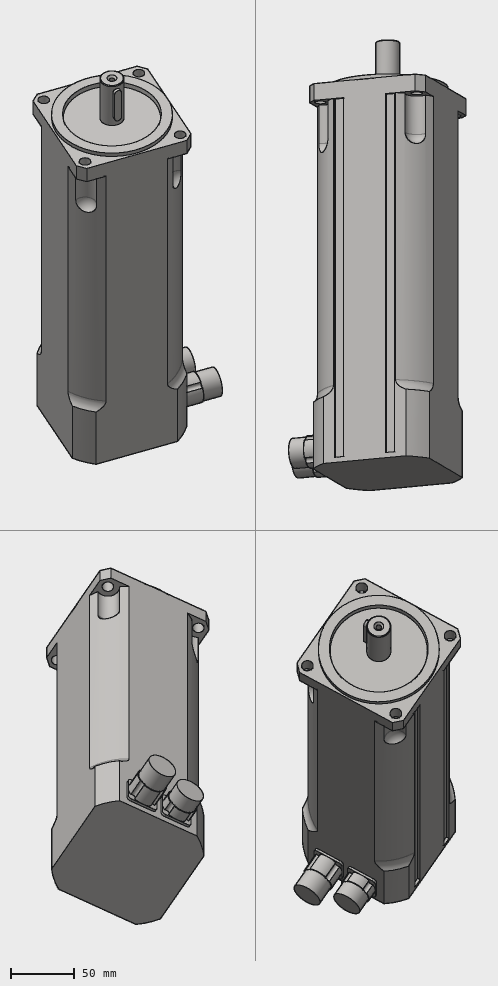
import cadquery as cq
import math

total_height = 348.0
side = 98.0
half_side = side / 2

flange_bottom = 294.0
flange_top = 307.5
flange_chamfer = 6.3
bolt_offset = 40.7
bolt_hole_diameter = 9.0

spigot_top = 311.0
spigot_diameter = 95.0
recess_diameter = 77.5
recess_floor_diameter = 76.2
recess_depth = 4.0

corner_radius_front = 55.7
corner_radius_rear = 60.2
corner_step_height = 62.3
corner_flare_radius = 10.0

clearance_diameter = 18.5
clearance_bottom = 263.0

groove_width = 7.5
groove_depth = 2.5
groove_offset = 21.5
groove_bottom = 4.2

shaft_diameter = 19.0
shaft_end_diameter = 17.7
center_hole_diameter = 4.2
center_hole_depth = 10.5
countersink_diameter = 7.5
countersink_angle = 90
key_width = 6.0
key_reach = 12.2
key_bottom = 313.5
key_top = 344.5

connector_height = 19.0
connector_diameter = 24.0
collar_size = 25.8
collar_thickness = 2.0
collar_corner_radius = 3.0
nut_diameter = 25.8
flute_count = 4
flute_radius = 2.5
first_flute_angle = 45
signal_connector_x = -15.3
signal_nut_end = 60.2
signal_end = 73.0
power_connector_x = 15.3
power_nut_end = 66.5
power_end = 82.8

corner_points = [(x, y) for x in (-bolt_offset, bolt_offset) for y in (-bolt_offset, bolt_offset)]


def cylinder(diameter, bottom, top):
    return cq.Workplane("XY").workplane(offset=bottom).circle(diameter / 2).extrude(top - bottom)


def square_block(bottom, top):
    return cq.Workplane("XY").workplane(offset=bottom).rect(side, side).extrude(top - bottom)


def corner_envelope():
    """Turned shape that trims the housing corners, flaring from slim front to wide rear."""
    radial_step = corner_radius_rear - corner_radius_front
    flare_angle = math.acos(1 - radial_step / corner_flare_radius)
    flare_center_x = corner_radius_front + corner_flare_radius
    flare_end_z = corner_step_height - corner_flare_radius * math.sin(flare_angle)
    flare_middle = (
        flare_center_x - corner_flare_radius * math.cos(flare_angle / 2),
        corner_step_height - corner_flare_radius * math.sin(flare_angle / 2),
    )
    return (
        cq.Workplane("XZ")
        .lineTo(corner_radius_rear, 0)
        .lineTo(corner_radius_rear, flare_end_z)
        .threePointArc(flare_middle, (corner_radius_front, corner_step_height))
        .lineTo(corner_radius_front, flange_bottom)
        .lineTo(0, flange_bottom)
        .close()
        .revolve(360, (0, 0), (0, 1))
    )


def bolt_clearances():
    shafts = (
        cq.Workplane("XY")
        .workplane(offset=clearance_bottom)
        .pushPoints(corner_points)
        .circle(clearance_diameter / 2)
        .extrude(flange_bottom - clearance_bottom)
    )
    ball_ends = (
        cq.Workplane("XY")
        .workplane(offset=clearance_bottom)
        .pushPoints(corner_points)
        .sphere(clearance_diameter / 2)
    )
    return shafts.union(ball_ends)


def side_grooves():
    return (
        cq.Workplane("XY")
        .workplane(offset=groove_bottom)
        .pushPoints([(-half_side, -groove_offset), (-half_side, groove_offset)])
        .rect(2 * groove_depth, groove_width)
        .extrude(flange_bottom - groove_bottom)
    )


def make_housing():
    return (
        square_block(0, flange_bottom)
        .intersect(corner_envelope())
        .cut(bolt_clearances())
        .cut(side_grooves())
    )


def make_flange():
    plate = square_block(flange_bottom, flange_top).edges("|Z").chamfer(flange_chamfer)
    bolt_holes = (
        cq.Workplane("XY")
        .workplane(offset=flange_bottom)
        .pushPoints(corner_points)
        .circle(bolt_hole_diameter / 2)
        .extrude(flange_top - flange_bottom)
    )
    spigot = cylinder(spigot_diameter, flange_top, spigot_top)
    recess = (
        cq.Workplane("XY")
        .workplane(offset=spigot_top - recess_depth)
        .circle(recess_floor_diameter / 2)
        .workplane(offset=recess_depth)
        .circle(recess_diameter / 2)
        .loft(ruled=True)
    )
    return plate.cut(bolt_holes).union(spigot).cut(recess)


def make_key():
    """Parallel key with full-round ends, reaching from the shaft axis out past its +X side."""
    key_length = key_top - key_bottom
    return (
        cq.Workplane("YZ")
        .center(0, (key_top + key_bottom) / 2)
        .slot2D(key_length, key_width, 90)
        .extrude(key_reach)
    )


def make_shaft():
    end_chamfer = (shaft_diameter - shaft_end_diameter) / 2
    return (
        cylinder(shaft_diameter, flange_bottom, total_height)
        .faces(">Z")
        .chamfer(end_chamfer)
        .union(make_key())
        .faces(">Z")
        .workplane(origin=(0, 0, total_height))
        .cskHole(center_hole_diameter, countersink_diameter, countersink_angle, center_hole_depth)
    )


def make_motor():
    return make_housing().union(make_flange()).union(make_shaft())


def make_connector(axis_x, nut_end, connector_end):
    """Square collar on the +Y face, then a fluted nut, then a plain barrel."""
    face = cq.Workplane("XZ", origin=(axis_x, half_side, connector_height))
    collar = (
        face.rect(collar_size, collar_size)
        .extrude(-collar_thickness)
        .edges("|Y")
        .fillet(collar_corner_radius)
    )
    nut = face.circle(nut_diameter / 2).extrude(half_side - nut_end)
    flutes = (
        face.workplane(offset=-collar_thickness)
        .polarArray(nut_diameter / 2, first_flute_angle, 360, flute_count)
        .circle(flute_radius)
        .extrude(half_side + collar_thickness - nut_end)
    )
    barrel = (
        face.workplane(offset=half_side - nut_end)
        .circle(connector_diameter / 2)
        .extrude(nut_end - connector_end)
    )
    return nut.cut(flutes).union(collar).union(barrel)


motor = make_motor()

connectors = []
for axis_x, nut_end, connector_end in (
    (signal_connector_x, signal_nut_end, signal_end),
    (power_connector_x, power_nut_end, power_end),
):
    connectors.append(make_connector(axis_x, nut_end, connector_end).val())

result = cq.Compound.makeCompound([motor.val(), *connectors])